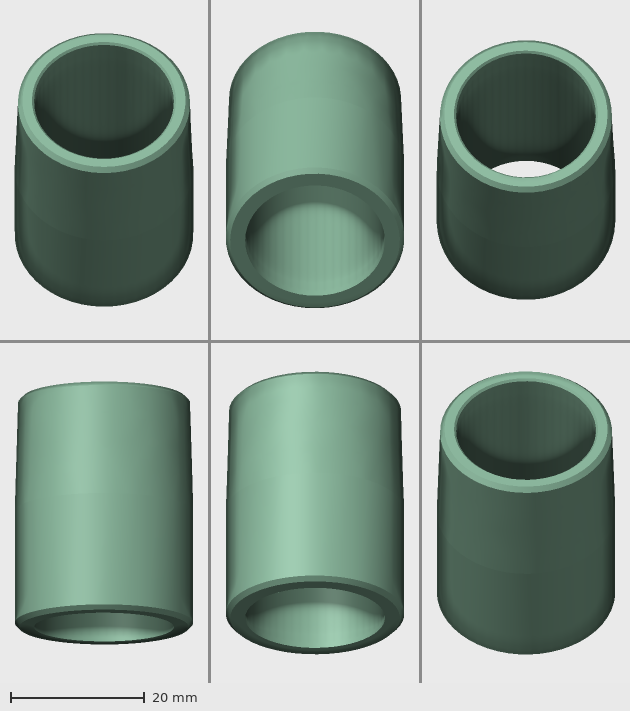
import cadquery as cq

height = 34.92
outer_radius = 13.35
bore_radius = 10.45
straight_height = 17.67
tip_radius = 12.85
edge_chamfer = 0.65
bore_chamfer = 0.3

section = (
    cq.Workplane("XZ")
    .moveTo(bore_radius, 0)
    .lineTo(outer_radius - edge_chamfer, 0)
    .lineTo(outer_radius, edge_chamfer)
    .lineTo(outer_radius, straight_height)
    .lineTo(tip_radius, height - edge_chamfer)
    .lineTo(tip_radius - edge_chamfer, height)
    .lineTo(bore_radius + bore_chamfer, height)
    .lineTo(bore_radius, height - bore_chamfer)
    .close()
)

result = section.revolve(360, (0, 0, 0), (0, 1, 0))